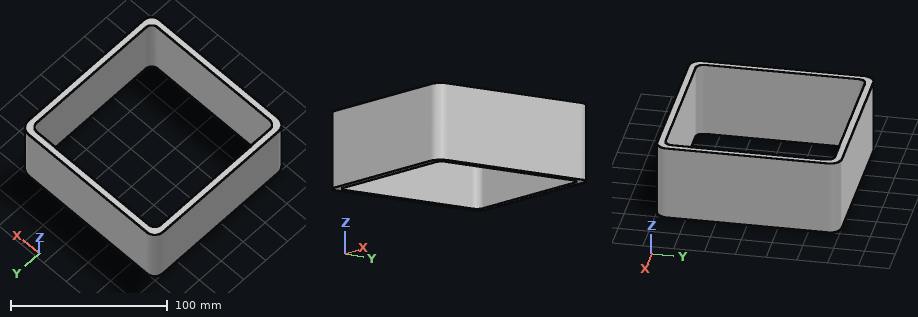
import cadquery as cq

side = 120.0
height = 50.0
wall = 5.0
outer_radius = 7.5
inner_radius = 5.0


def rounded_block(width, corner_radius):
    """Square block of the tube height with rounded vertical edges."""
    block = cq.Workplane("XY").box(width, width, height)
    return block.edges("|Z").fillet(corner_radius)


outer_body = rounded_block(side, outer_radius)
opening = rounded_block(side - 2 * wall, inner_radius)

result = outer_body.cut(opening)